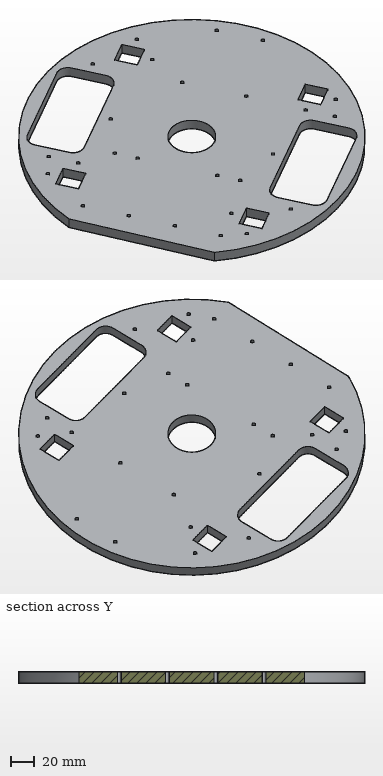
import cadquery as cq
import math

disc_radius = 145.0
thickness = 10.0
flat_left_x = -66.7
flat_right_y = -131.0

center_bore_diameter = 40.0
window_width = 50.0
window_length = 100.0
window_corner_radius = 10.0
window_offset = 106.7
square_side = 20.0
square_offset = 80.5

screw_hole_diameter = 3.0
inner_column = 60.5
outer_column = 106.5
screw_row = 60.3
end_hole_x = 20.3
rear_end_y = 131.7
front_end_y = -109.5
rear_pair_x = 28.0
rear_pair_y = 61.5
side_hole_x = 71.3
mount_inner_x = 35.0
mount_outer_x = 55.0
mount_y = -39.5
sensor_step = 20.0


def flat_edged_disc():
    left_y = -math.sqrt(disc_radius**2 - flat_left_x**2)
    right_x = math.sqrt(disc_radius**2 - flat_right_y**2)
    return (
        cq.Workplane("XY")
        .moveTo(flat_left_x, left_y)
        .threePointArc((0, disc_radius), (right_x, flat_right_y))
        .close()
        .extrude(thickness)
    )


def mirrored_pair(x, y):
    return [(-x, y), (x, y)]


def screw_hole_points():
    points = []
    for x, y in [
        (end_hole_x, rear_end_y),
        (rear_pair_x, rear_pair_y),
        (outer_column, screw_row),
        (side_hole_x, 0),
        (mount_inner_x, mount_y),
        (mount_outer_x, mount_y),
        (outer_column, -screw_row),
        (end_hole_x, front_end_y),
        (inner_column, front_end_y),
    ]:
        points += mirrored_pair(x, y)

    points += [
        (-square_offset, square_offset + sensor_step),
        (-square_offset + sensor_step, square_offset),
        (square_offset + sensor_step, square_offset),
        (square_offset, screw_row),
        (-square_offset, -screw_row),
        (-square_offset - sensor_step, -square_offset),
        (square_offset - sensor_step, -square_offset),
        (square_offset, -square_offset - sensor_step),
    ]
    return points


def window_cutters():
    return (
        cq.Workplane("XY")
        .pushPoints(mirrored_pair(window_offset, 0))
        .rect(window_width, window_length)
        .extrude(thickness)
        .edges("|Z")
        .fillet(window_corner_radius)
    )


def square_cutters():
    centers = mirrored_pair(square_offset, square_offset)
    centers += mirrored_pair(square_offset, -square_offset)
    return cq.Workplane("XY").pushPoints(centers).rect(square_side, square_side).extrude(thickness)


def round_cutters(points, diameter):
    return cq.Workplane("XY").pushPoints(points).circle(diameter / 2).extrude(thickness)


result = (
    flat_edged_disc()
    .cut(window_cutters())
    .cut(square_cutters())
    .cut(round_cutters([(0, 0)], center_bore_diameter))
    .cut(round_cutters(screw_hole_points(), screw_hole_diameter))
)